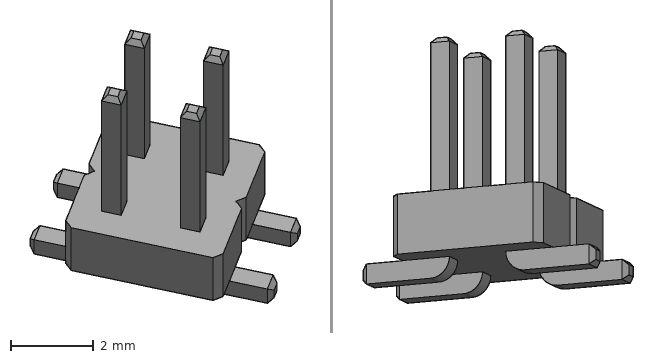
import cadquery as cq

pitch = 2.0
body_side = 4.0
body_height = 1.5
corner_cut = 0.2
pin_width = 0.5
overall_length = 6.2
overall_height = 6.0
tip_inset = 0.125
tip_length = 0.135

half_body = body_side / 2
half_pin = pin_width / 2
half_pitch = pitch / 2
body_bottom = pin_width
foot_reach = overall_length / 2 - half_pitch


def make_body():
    """Square housing with chamfered corners and a V notch in each X side."""
    body = (
        cq.Workplane("XY")
        .workplane(offset=body_bottom)
        .rect(body_side, body_side)
        .extrude(body_height)
        .edges("|Z")
        .chamfer(corner_cut)
    )
    for side in (-1, 1):
        edge_x = side * half_body
        notch = (
            cq.Workplane("XY")
            .workplane(offset=body_bottom)
            .moveTo(edge_x, -corner_cut)
            .lineTo(edge_x - side * corner_cut, 0)
            .lineTo(edge_x, corner_cut)
            .close()
            .extrude(body_height)
        )
        body = body.cut(notch)
    return body


def make_tip(base_plane):
    """Tapered wire end growing along the normal of the given plane."""
    tip_width = pin_width - 2 * tip_inset
    return (
        cq.Workplane(base_plane)
        .rect(pin_width, pin_width)
        .workplane(offset=tip_length)
        .rect(tip_width, tip_width)
        .loft(ruled=True)
    )


def make_pin():
    """L-shaped pin on the Z axis, its foot pointing to +X."""
    post_top = overall_height - tip_length
    foot_end = foot_reach - tip_length
    wire = (
        cq.Workplane("XZ")
        .moveTo(-half_pin, post_top)
        .lineTo(-half_pin, pin_width)
        .radiusArc((half_pin, 0), -pin_width)
        .lineTo(foot_end, 0)
        .lineTo(foot_end, pin_width)
        .lineTo(half_pin, pin_width)
        .lineTo(half_pin, post_top)
        .close()
        .extrude(half_pin, both=True)
    )
    post_plane = cq.Plane(origin=(0, 0, post_top))
    foot_plane = cq.Plane(origin=(foot_end, 0, half_pin), xDir=(0, 1, 0), normal=(1, 0, 0))
    return wire.union(make_tip(post_plane)).union(make_tip(foot_plane))


right_pin = make_pin().translate((half_pitch, 0, 0))
left_pin = right_pin.mirror("YZ")

result = make_body()
for row_y in (-half_pitch, half_pitch):
    for pin in (left_pin, right_pin):
        result = result.union(pin.translate((0, row_y, 0)))